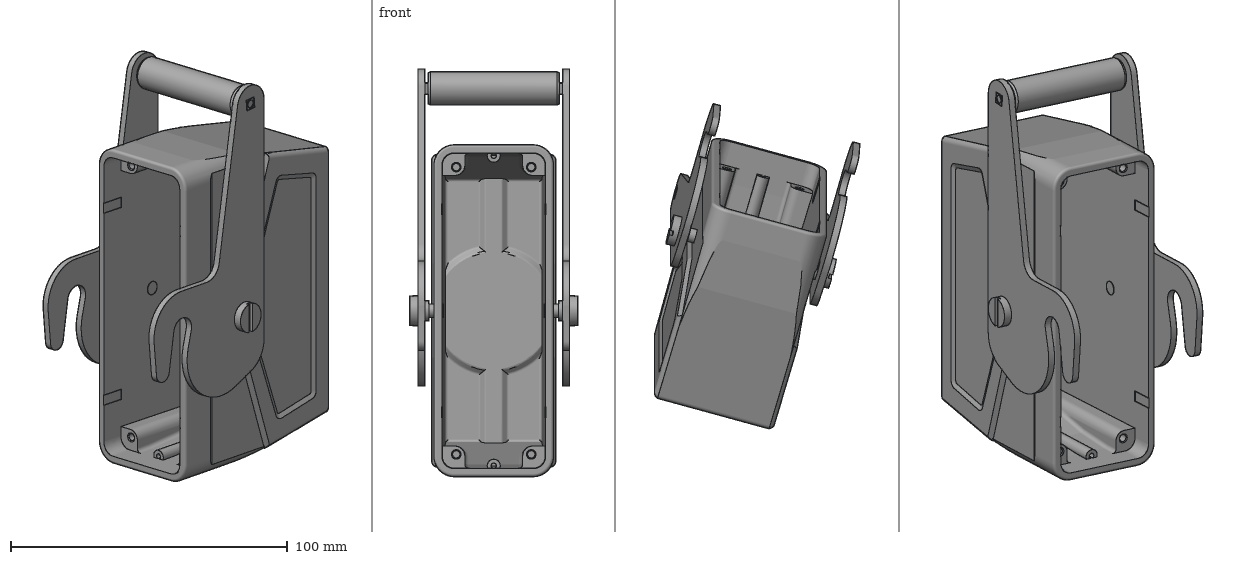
import cadquery as cq
import math


hood_height = 120.0
hood_depth = 76.0
rim_width = 43.2
rim_corner = 7.4
rim_round = 1.0
rim_end_y = 13.1
rim_bevel = 1.5
waist_width = 41.9
pad_width = 45.0
pad_round = 2.0
back_round = 1.8
top_bend_y = 11.2
top_break_y = 30.5
top_break_drop = 1.39
back_slope = 10.0

pad_front_y = 30.8
pad_front_half = 17.1
pad_edge_y = 43.9
pad_edge_half = 56.5
pad_wall_run = 1.5
pocket_front_y = 37.1
pocket_front_half = 17.5
pocket_edge_y = 47.8
pocket_edge_half = 46.9
pocket_back_y = 68.2
pocket_back_half = 42.7
pocket_corner = 2.7
pocket_depth = 0.9
pocket_wall_run = 1.8

wall = 3.0
cavity_width = 37.5
cavity_corner = 4.4
cavity_draft = 1.0
cavity_slope = 11.0
floor_round = 1.0
boss_front_y = 8.8
boss_inner_x = 10.5
boss_inner_z = 49.0
boss_corner = 3.4
boss_root_round = 1.5
boss_hole_x = 13.5
boss_hole_z = 51.9
boss_hole_radius = 1.3
boss_hole_chamfer = 0.37
boss_hole_chamfer_angle = 45.0
boss_hole_depth = 14.7
key_radius = 2.4
key_hole_radius = 0.96
key_z = 56.0
floor_rise = 1.9
floor_flare = 45.0
disc_radius = 23.5
floor_edge_round = 0.9
floor_rib_width = 10.0
guide_z = 36.7
guide_width = 3.8
guide_length = 9.1
guide_depth = 0.1

lever_outer_x = 27.4
lever_thickness = 2.5
overall_width = 60.9
pivot_y = 25.0
grip_y = 28.3
grip_z = 80.3
grip_radius = 6.0
grip_half = 23.7
grip_chamfer_length = 0.9
grip_chamfer_height = 0.5
tenon_side = 4.0
tenon_tilt = 5.0
tenon_socket_depth = 0.3
tenon_peg_radius = 1.5
screw_head_radius = 5.5
screw_slot_width = 1.6
screw_slot_depth = 1.2
collar_radius = 3.7
collar_inner_x = 23.5
pin_radius = 2.5
pin_inner_x = 18.1

lever_rounds = [
    (grip_y, grip_z, 7.1),
    (4.9, 24.8, -6.8),
    (-8.3, 3.2, 14.7),
    (-18.3, -10.9, 3.4),
    (-7.8, 3.0, -4.7),
    (12.5, -9.3, 18.0),
    (23.6, -11.0, 11.8),
]

half_height = hood_height / 2
floor_y = hood_depth - wall


def rounded_bar(width, height, corner, length, taper=0.0):
    """Rounded rectangular bar running from y = 0 to y = length."""
    outline = cq.Sketch().rect(width, height).vertices().fillet(corner)
    bar = cq.Workplane("XY").placeSketch(outline).extrude(length, taper=taper)
    return bar.rotate((0, 0, 0), (1, 0, 0), -90)


def side_profile(width, inset, back_y, slope_angle):
    """Hood silhouette across X, moved inward by inset and ending at back_y."""
    slope = math.tan(math.radians(slope_angle))
    front_half = half_height - inset
    break_half = front_half - top_break_drop
    end_half = break_half - slope * (back_y - top_break_y)
    upper = [(0, front_half), (top_bend_y, front_half), (top_break_y, break_half), (back_y, end_half)]
    lower = [(y, -z) for y, z in reversed(upper)]
    return cq.Workplane("YZ").polyline(upper + lower).close().extrude(width / 2, both=True)


def both_sides(body):
    """Body together with its mirror image across the YZ plane."""
    return body.union(body.mirror("YZ"))


def side_pads():
    """Raised pads on both sides, each bounded in front by a sloping wall."""
    block = side_profile(pad_width, 0, hood_depth, back_slope).edges(">Y and |X").fillet(back_round)
    block = block.faces("<X or >X").edges("not <Y").fillet(pad_round)
    reach = hood_depth
    grow = pad_wall_run
    rise = (pad_width - waist_width) / 2
    slant = (pad_edge_y - pad_front_y) / (pad_edge_half - pad_front_half)
    far_half = half_height + reach
    far_y = pad_front_y + slant * (far_half - pad_front_half)
    points = [
        (pad_front_y - grow, pad_front_half),
        (far_y - grow, far_half),
        (hood_depth + reach, far_half),
        (hood_depth + reach, -far_half),
        (far_y - grow, -far_half),
        (pad_front_y - grow, -pad_front_half),
    ]
    taper = math.degrees(math.atan(pad_wall_run / rise))
    zone = cq.Workplane("YZ", origin=(waist_width / 2, 0, 0)).polyline(points).close()
    return both_sides(zone.extrude(rise, taper=taper).intersect(block))


def side_pockets():
    """Shallow pockets with sloping walls, one in each pad."""
    upper = [
        (pocket_front_y, pocket_front_half),
        (pocket_edge_y, pocket_edge_half),
        (pocket_back_y, pocket_back_half),
    ]
    lower = [(y, -z) for y, z in reversed(upper)]
    outline = cq.Sketch().polygon(upper + lower + upper[:1]).vertices().fillet(pocket_corner)
    taper = math.degrees(math.atan(pocket_wall_run / pocket_depth))
    plane = cq.Plane(origin=(-pad_width / 2, 0, 0), xDir=(0, 1, 0), normal=(1, 0, 0))
    return both_sides(cq.Workplane(plane).placeSketch(outline).extrude(pocket_depth, taper=taper))


def hood_outside():
    """Solid outer form: rim, narrower waist and raised side pads."""
    silhouette = side_profile(pad_width, 0, hood_depth, back_slope).edges(">Y and |X").fillet(back_round)
    core = rounded_bar(rim_width, hood_height, rim_corner, hood_depth).intersect(silhouette)
    core = core.faces("<Y").edges().fillet(rim_round)
    waist_y = rim_end_y + rim_bevel
    half_plan = [(rim_width / 2, 0), (rim_width / 2, rim_end_y)]
    half_plan += [(waist_width / 2, waist_y), (waist_width / 2, hood_depth)]
    plan = half_plan + [(-x, y) for x, y in reversed(half_plan)]
    core = core.intersect(cq.Workplane("XY").polyline(plan).close().extrude(half_height, both=True))
    return core.union(side_pads())


def corner_bosses():
    """Four screw bosses in the corners of the cavity, with blind holes."""
    width = pad_width / 2 - boss_inner_x
    height = half_height - boss_inner_z
    depth = hood_depth - boss_front_y
    boss = cq.Workplane("XY").box(width, depth, height, centered=False)
    boss = boss.edges("<X and <Z").fillet(boss_corner)
    boss = boss.translate((boss_inner_x, boss_front_y, boss_inner_z))
    hole = cq.Workplane("XZ", origin=(boss_hole_x, boss_front_y, boss_hole_z))
    drill = hole.circle(boss_hole_radius).extrude(-boss_hole_depth)
    mouth_radius = boss_hole_radius + boss_hole_chamfer
    mouth = hole.circle(mouth_radius).extrude(-boss_hole_chamfer, taper=boss_hole_chamfer_angle)
    boss = boss.cut(drill).cut(mouth)
    pair = both_sides(boss)
    return pair.union(pair.mirror("XY"))


def key_ridges():
    """Round ridges with a blind hole along the middle of the top and bottom walls."""
    ridges = cq.Workplane("XZ", origin=(0, boss_front_y, 0)).pushPoints([(0, key_z), (0, -key_z)])
    holes = ridges.circle(key_hole_radius).extrude(-boss_hole_depth)
    return ridges.circle(key_radius).extrude(boss_front_y - hood_depth).cut(holes)


def raised_floor():
    """Raised disc and upright rib on the cavity floor, with flared flanks."""
    floor = cq.Workplane("XZ", origin=(0, floor_y, 0))
    disc = floor.circle(disc_radius).extrude(floor_rise, taper=floor_flare)
    rib = floor.rect(floor_rib_width, hood_height).extrude(floor_rise, taper=floor_flare)
    return disc.union(rib).faces("<Y").edges().fillet(floor_edge_round)


def guide_grooves():
    """Short shallow grooves in the side walls, open at the rim."""
    grooves = cq.Workplane("XZ").pushPoints([(0, guide_z), (0, -guide_z)])
    return grooves.rect(cavity_width + 2 * guide_depth, guide_width).extrude(-guide_length)


def boss_roots(space):
    """Edges where the inner flanks of the bosses meet the top and bottom walls."""
    tolerance = 0.01

    def is_root(edge):
        middle = edge.Center()
        on_flank = abs(abs(middle.x) - boss_inner_x) < tolerance
        runs_inward = edge.BoundingBox().ylen > boss_root_round
        return on_flank and runs_inward and abs(middle.z) > boss_inner_z + boss_corner + tolerance

    return [edge for edge in space.edges().vals() if is_root(edge)]


def cavity():
    """Space inside the hood, already reduced by everything that stands in it."""
    space = rounded_bar(cavity_width, hood_height - 2 * wall, cavity_corner, floor_y, cavity_draft)
    space = space.intersect(side_profile(cavity_width, wall, floor_y, cavity_slope))
    space = space.cut(raised_floor())
    space = space.faces(">Y").edges().fillet(floor_round)
    space = space.cut(corner_bosses())
    space = space.newObject(boss_roots(space)).fillet(boss_root_round)
    space = space.cut(key_ridges())
    return space.union(guide_grooves())


def make_hood():
    """Hollow hood with a pivot hole through both side walls."""
    hood = hood_outside().cut(side_pockets()).cut(cavity())
    pivot = cq.Workplane("YZ").center(pivot_y, 0).circle(pin_radius)
    return hood.cut(pivot.extrude(pad_width / 2, both=True))


def lever_outline():
    """Closed outline of roundings joined by lines tangent to both neighbours."""
    count = len(lever_rounds)
    headings = []
    for i in range(count):
        y1, z1, r1 = lever_rounds[i]
        y2, z2, r2 = lever_rounds[(i + 1) % count]
        gap = math.hypot(y2 - y1, z2 - z1)
        headings.append(math.atan2(z2 - z1, y2 - y1) + math.asin((r1 - r2) / gap))

    def point(rounding, heading):
        y, z, r = rounding
        return (y + r * math.sin(heading), z - r * math.cos(heading))

    outline = cq.Workplane("YZ").moveTo(*point(lever_rounds[-1], headings[-1]))
    for i, rounding in enumerate(lever_rounds):
        start = headings[i - 1]
        turn = (headings[i] - start) % (2 * math.pi)
        if rounding[2] < 0:
            turn -= 2 * math.pi
        outline = outline.lineTo(*point(rounding, start))
        outline = outline.threePointArc(point(rounding, start + turn / 2), point(rounding, headings[i]))
    return outline.close()


def disc_along_x(y, z, radius, start_x, end_x):
    """Round bar along X."""
    return cq.Workplane("YZ", origin=(start_x, y, z)).circle(radius).extrude(end_x - start_x)


def pivot_screw():
    """Slotted head outside the plate, collar inside it and pin into the hood wall."""
    plate_inner_x = lever_outer_x - lever_thickness
    head_x = overall_width / 2
    head = disc_along_x(pivot_y, 0, screw_head_radius, lever_outer_x, head_x)
    slot = cq.Workplane("XY").box(2 * screw_slot_depth, screw_slot_width, 2 * screw_head_radius)
    head = head.cut(slot.translate((head_x, pivot_y, 0)))
    collar = disc_along_x(pivot_y, 0, collar_radius, collar_inner_x, plate_inner_x)
    pin = disc_along_x(pivot_y, 0, pin_radius, pin_inner_x, collar_inner_x)
    return head.union(collar).union(pin)


def grip():
    """Grip bar with chamfered ends."""
    bar = disc_along_x(grip_y, grip_z, grip_radius, -grip_half, grip_half)
    return bar.faces("<X or >X").chamfer(grip_chamfer_length, grip_chamfer_height)


def square_tenon(start_x, length):
    """Tilted square stub on the grip axis."""
    plane = cq.Workplane("YZ", origin=(start_x, grip_y, grip_z))
    return plane.transformed(rotate=(0, 0, tenon_tilt)).rect(tenon_side, tenon_side).extrude(length)


def make_lever():
    """Two side plates joined by the grip, with their pivot screws."""
    plate_inner_x = lever_outer_x - lever_thickness
    plate = lever_outline().extrude(lever_thickness).translate((plate_inner_x, 0, 0))
    socket_x = lever_outer_x - tenon_socket_depth
    plate = plate.cut(square_tenon(socket_x, tenon_socket_depth))
    peg = disc_along_x(grip_y, grip_z, tenon_peg_radius, socket_x, lever_outer_x)
    tenon = square_tenon(grip_half, plate_inner_x - grip_half)
    side = plate.union(peg).union(tenon).union(pivot_screw())
    return both_sides(side).union(grip())


hood = make_hood()
lever = make_lever()

result = cq.Compound.makeCompound([hood.solids().val(), lever.solids().val()])